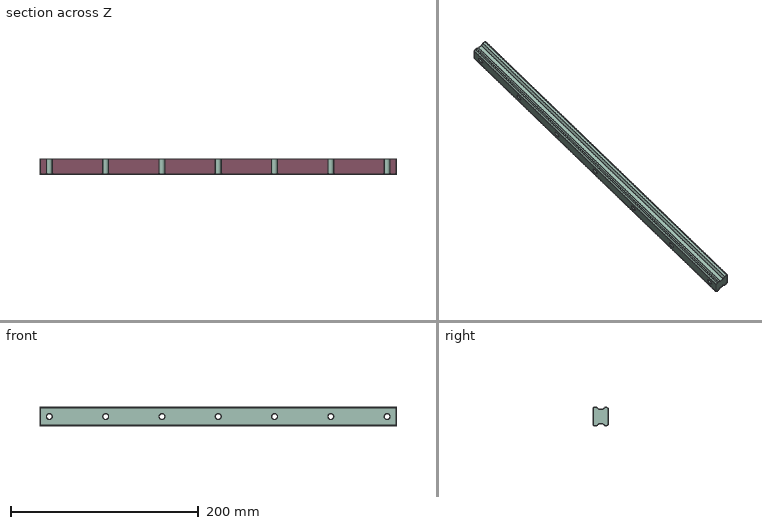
import cadquery as cq

length = 380.0
height = 16.5
width = 20.0

base_land_edge = -4.4
floor_base_edge = -2.1
floor_head_edge = 2.1
shelf_edge = 2.85
head_land_edge = 4.75
groove_depth = 2.1
shelf_depth = 1.6

base_chamfer = 1.0
head_chamfer_y = 1.9
head_chamfer_z = 1.6

hole_diameter = 6.0
hole_pitch = 60.0
hole_count = 7


def half_profile(side):
    """(Y, Z) points from the base face to the head face on one Z side (+1 or -1)."""
    half_height = height / 2
    half_width = width / 2
    points = [
        (-half_height, half_width - base_chamfer),
        (-half_height + base_chamfer, half_width),
        (base_land_edge, half_width),
        (floor_base_edge, half_width - groove_depth),
        (floor_head_edge, half_width - groove_depth),
        (shelf_edge, half_width - shelf_depth),
        (head_land_edge, half_width),
        (half_height - head_chamfer_y, half_width),
        (half_height, half_width - head_chamfer_z),
    ]
    return [(y, side * z) for y, z in points]


def rail_body():
    """Grooved bar, extruded along X and centred on the origin."""
    outline = half_profile(1) + half_profile(-1)[::-1]
    return cq.Workplane("YZ").polyline(outline).close().extrude(length / 2, both=True)


def mounting_holes():
    """Row of cylinders along Y, evenly spaced along X and centred on the rail."""
    return (
        cq.Workplane("XZ")
        .rarray(hole_pitch, 1, hole_count, 1)
        .circle(hole_diameter / 2)
        .extrude(height, both=True)
    )


result = rail_body().cut(mounting_holes())